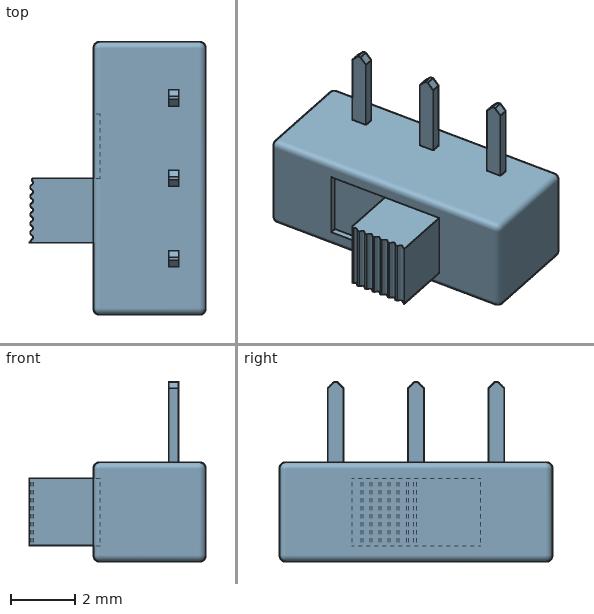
import cadquery as cq
import math

body_x = 3.5
body_y = 8.5
body_z = 3.1
edge_radius = 0.2
front_x = -body_x / 2

window_y = 4.01
window_z = 2.1
window_depth = 0.2

knob_reach = 2.0
knob_tip_x = front_x - knob_reach
knob_start_y = -window_y / 2
knob_end_y = 0.01

groove_count = 7
groove_pitch = 0.283
groove_depth = 0.11
groove_radius = 0.05
ridge_setback = 0.03
first_valley_inset = 0.17
first_valley_y = knob_start_y + first_valley_inset

step_height = 0.06
step_radius = 0.07

pin_count = 3
pin_pitch = 2.5
pin_center_x = 0.75
pin_x = 0.31
pin_y = 0.5
pin_length = 2.5
pin_chamfer = 0.2


def make_housing():
    housing = cq.Workplane("XY").box(body_x, body_y, body_z, centered=(True, True, False))
    housing = housing.edges().fillet(edge_radius)
    window = cq.Workplane("XY").box(2 * window_depth, window_y, window_z)
    return housing.cut(window.translate((front_x, 0, body_z / 2)))


def make_knob():
    """Extrude the knob's outline, grooved along its -X end, in Z."""
    inner_x = front_x + window_depth
    ridge_x = knob_tip_x + ridge_setback
    valley_x = ridge_x + groove_depth
    floor_half_width = groove_radius * math.sqrt(0.5)
    floor_side_x = valley_x - floor_half_width
    floor_x = valley_x - groove_radius * (math.sqrt(2) - 1)

    outline = cq.Workplane("XY").moveTo(inner_x, knob_start_y).lineTo(knob_tip_x, knob_start_y)
    for index in range(groove_count):
        valley_y = first_valley_y + index * groove_pitch
        if index > 0:
            outline = outline.lineTo(ridge_x, valley_y - groove_depth)
        outline = outline.lineTo(floor_side_x, valley_y - floor_half_width)
        outline = outline.threePointArc((floor_x, valley_y), (floor_side_x, valley_y + floor_half_width))
        rise = groove_depth if index < groove_count - 1 else step_height
        outline = outline.lineTo(valley_x - rise, valley_y + rise)

    step_x = valley_x - step_height
    corner_inset = step_radius * (1 - math.sqrt(0.5))
    outline = outline.lineTo(step_x, knob_end_y - step_radius)
    outline = outline.threePointArc(
        (step_x + corner_inset, knob_end_y - corner_inset),
        (step_x + step_radius, knob_end_y),
    )
    outline = outline.lineTo(inner_x, knob_end_y).close()
    return outline.extrude(window_z).translate((0, 0, (body_z - window_z) / 2))


def make_pin(center_y):
    pin = cq.Workplane("XY").box(pin_x, pin_y, pin_length, centered=(True, True, False))
    pin = pin.edges("|X and >Z").chamfer(pin_chamfer)
    return pin.translate((pin_center_x, center_y, body_z))


result = make_housing().union(make_knob())
for index in range(pin_count):
    result = result.union(make_pin((index - (pin_count - 1) / 2) * pin_pitch))